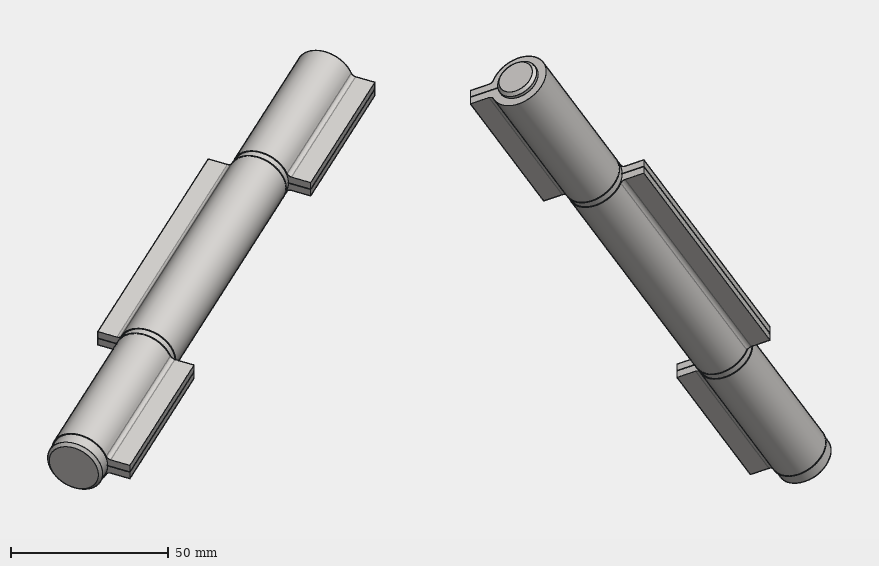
import cadquery as cq
import math

TOTAL_LENGTH = 205.0
LEAF_REACH = 17.2

KNUCKLE_DIAMETER = 19.7
BORE_DIAMETER = 14.0
SEAM_GAP = 0.2
ROOT_FILLET = 1.6
OUTER_KNUCKLE_LENGTH = 51.9

WASHER_DIAMETER = 19.0
WASHER_THICKNESS = 2.5

PIN_DIAMETER = BORE_DIAMETER
HEAD_DIAMETER = WASHER_DIAMETER
HEAD_THICKNESS = 5.1
TIP_PROTRUSION = 2.0
PIN_CHAMFER = 1.0

KNUCKLE_RADIUS = KNUCKLE_DIAMETER / 2
WALL_THICKNESS = (KNUCKLE_DIAMETER - BORE_DIAMETER) / 2
LEAF_HALF_THICKNESS = WALL_THICKNESS
PIN_START = -TOTAL_LENGTH / 2
STACK_START = PIN_START + HEAD_THICKNESS
STACK_END = TOTAL_LENGTH / 2 - TIP_PROTRUSION
MIDDLE_KNUCKLE_LENGTH = STACK_END - STACK_START - 2 * (OUTER_KNUCKLE_LENGTH + WASHER_THICKNESS)


def cross_section(y):
    """Workplane across the hinge axis: local X is -X, local Y is Z, normal is +Y."""
    return cq.Workplane(cq.Plane(origin=(0, y, 0), xDir=(-1, 0, 0), normal=(0, 1, 0)))


def disc(y, diameter, length):
    """Round bar on the hinge axis, from y towards +Y."""
    return cross_section(y).circle(diameter / 2).extrude(length)


def make_knuckle(y, length, side):
    """Rolled barrel with its leaf on the +X (side = 1) or -X (side = -1) side."""
    centre_distance = KNUCKLE_RADIUS + ROOT_FILLET
    centre_z = LEAF_HALF_THICKNESS + ROOT_FILLET
    centre_x = math.sqrt(centre_distance**2 - centre_z**2)
    barrel_x = centre_x * KNUCKLE_RADIUS / centre_distance
    barrel_z = centre_z * KNUCKLE_RADIUS / centre_distance

    towards_barrel = math.atan2(-centre_z, -centre_x)
    towards_leaf = -math.pi / 2
    mid_angle = (towards_barrel + towards_leaf) / 2
    mid_x = centre_x + ROOT_FILLET * math.cos(mid_angle)
    mid_z = centre_z + ROOT_FILLET * math.sin(mid_angle)

    out = -side
    body = (
        cross_section(y)
        .moveTo(out * LEAF_REACH, -LEAF_HALF_THICKNESS)
        .lineTo(out * LEAF_REACH, LEAF_HALF_THICKNESS)
        .lineTo(out * centre_x, LEAF_HALF_THICKNESS)
        .threePointArc((out * mid_x, mid_z), (out * barrel_x, barrel_z))
        .threePointArc((-out * KNUCKLE_RADIUS, 0), (out * barrel_x, -barrel_z))
        .threePointArc((out * mid_x, -mid_z), (out * centre_x, -LEAF_HALF_THICKNESS))
        .close()
        .extrude(length)
    )
    seam = (
        cross_section(y)
        .center(out * LEAF_REACH / 2, 0)
        .rect(LEAF_REACH, SEAM_GAP)
        .extrude(length)
    )
    bore = disc(y, BORE_DIAMETER, length)
    return body.cut(seam).cut(bore)


def make_washer(y):
    """Flat ring that fits the pin."""
    hole = disc(y, PIN_DIAMETER, WASHER_THICKNESS)
    return disc(y, WASHER_DIAMETER, WASHER_THICKNESS).cut(hole)


def make_pin():
    """Headed pin through the whole stack, chamfered at both ends."""
    head = disc(PIN_START, HEAD_DIAMETER, HEAD_THICKNESS)
    shank = disc(STACK_START, PIN_DIAMETER, TOTAL_LENGTH - HEAD_THICKNESS)
    return head.faces("<Y").chamfer(PIN_CHAMFER).union(shank.faces(">Y").chamfer(PIN_CHAMFER))


pin = make_pin()

knuckle_layout = [
    (OUTER_KNUCKLE_LENGTH, 1),
    (MIDDLE_KNUCKLE_LENGTH, -1),
    (OUTER_KNUCKLE_LENGTH, 1),
]
knuckles = []
washers = []
next_y = STACK_START
for knuckle_length, leaf_side in knuckle_layout:
    if knuckles:
        washers.append(make_washer(next_y).val())
        next_y += WASHER_THICKNESS
    knuckles.append(make_knuckle(next_y, knuckle_length, leaf_side).val())
    next_y += knuckle_length

result = cq.Compound.makeCompound([pin.val(), *knuckles, *washers])